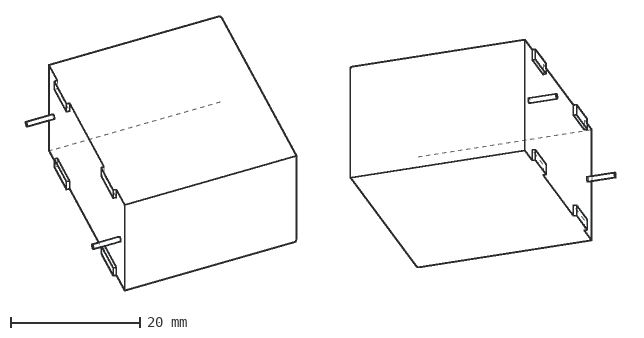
import cadquery as cq

width = 32.0
height = 19.3
total_depth = 33.2

pin_length = 4.5
depth = total_depth - pin_length
back_rounding = 0.5

foot_base_length = 5.28
foot_draft = 0.1
foot_width = 1.8
foot_height = 0.5
foot_spacing = 19.72

pin_diameter = 0.8
pin_pitch = 28.0



def make_foot(x_center, z_bottom):
    """A foot whose two ends taper towards its tip."""
    base_half = foot_base_length / 2
    tip_half = base_half - foot_draft
    outline = [
        (x_center - base_half, 0),
        (x_center + base_half, 0),
        (x_center + tip_half, -foot_height),
        (x_center - tip_half, -foot_height),
    ]
    return cq.Workplane("XY", origin=(0, 0, z_bottom)).polyline(outline).close().extrude(foot_width)


def make_housing():
    """A block with a rounded back and a foot near each corner of the front face."""
    block = cq.Workplane("XY").box(width, depth, height, centered=(True, False, True))
    housing = block.faces(">Y").edges().fillet(back_rounding)
    for x_center in (-foot_spacing / 2, foot_spacing / 2):
        for z_bottom in (-height / 2, height / 2 - foot_width):
            housing = housing.union(make_foot(x_center, z_bottom))
    return housing


def make_pin(x_center):
    """A straight round pin standing on the front face and pointing towards -Y."""
    front_plane = cq.Workplane("XZ", origin=(x_center, 0, 0))
    return front_plane.circle(pin_diameter / 2).extrude(pin_length)


housing = make_housing()
pins = [make_pin(x_center) for x_center in (-pin_pitch / 2, pin_pitch / 2)]

result = cq.Compound.makeCompound([housing.val(), *[pin.val() for pin in pins]])